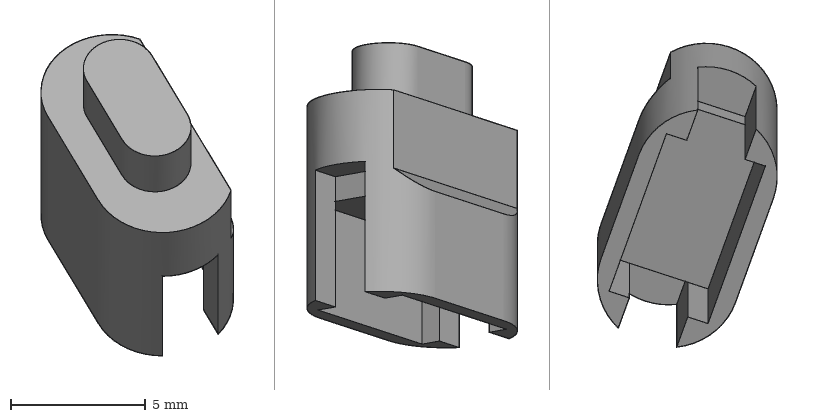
import cadquery as cq

body_length = 9.6
body_width = 5.3
body_height = 7.75

total_height = 10.0
plunger_length = 5.7
plunger_width = 2.7

relief_depth = 0.65
relief_bottom = 4.1

cavity_length = 6.55
cavity_width = 3.9
cavity_height = 4.05
slot_width = 2.3
slot_height = 5.0


def stadium(length, width, bottom, top):
    """Round-ended prism along X, between two heights."""
    return cq.Workplane("XY", origin=(0, 0, bottom)).slot2D(length, width).extrude(top - bottom)


def box(length, width, height, x_center=0.0):
    """Box standing on Z = 0, centred on Y = 0."""
    return cq.Workplane("XY").center(x_center, 0).rect(length, width).extrude(height)


def side_relief():
    """Cutter for the +Y flat and its 45 degree ramp, over the full length."""
    outer_y = body_width / 2
    flat_y = outer_y - relief_depth
    return (
        cq.Workplane("YZ")
        .moveTo(outer_y, relief_bottom)
        .lineTo(flat_y, relief_bottom + relief_depth)
        .lineTo(flat_y, body_height)
        .lineTo(outer_y, body_height)
        .close()
        .extrude(body_length / 2, both=True)
    )


def end_slot(side):
    """Cutter from the cavity end wall out through one end; side is -1 or +1."""
    slot_length = (body_length - cavity_length) / 2
    slot_center = side * (cavity_length + slot_length) / 2
    return box(slot_length, slot_width, slot_height, slot_center)


body = stadium(body_length, body_width, 0, body_height)
body = body.cut(side_relief())
body = body.cut(box(cavity_length, cavity_width, cavity_height))
for side in (-1, 1):
    body = body.cut(end_slot(side))

plunger = stadium(plunger_length, plunger_width, body_height, total_height)
result = body.union(plunger)